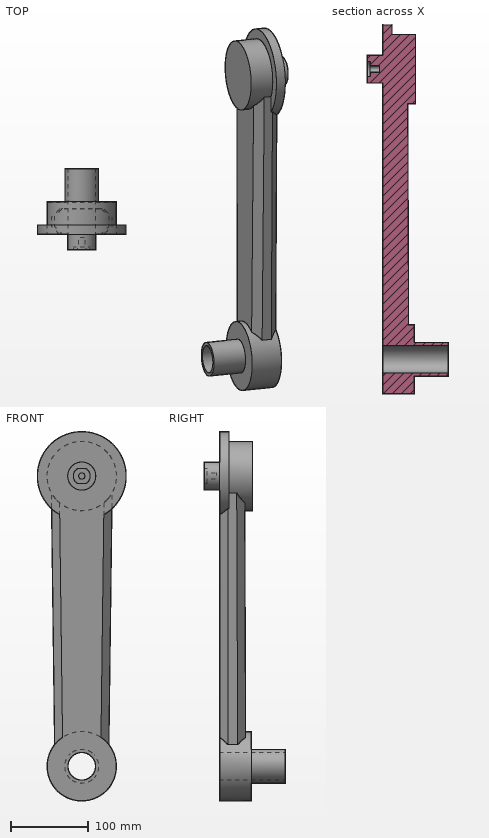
import cadquery as cq

overall_height = 477.5
flange_diameter = 115.0
flange_radius = flange_diameter / 2
boss_radius = 45.0
hub_height = overall_height - flange_radius - boss_radius

flange_thickness = 12.5
hub_depth = 42.5
pin_radius = 18.0
pin_length = 20.0
socket_radius = 11.0
socket_flat_height = 19.0
socket_depth = 4.0
center_hole_radius = 4.05
center_hole_depth = 12.0

overall_depth = 105.0
eye_depth = 41.0
sleeve_end = overall_depth - pin_length
sleeve_radius = 22.0
bore_radius = 17.5

eye_half_width = 35.0
eye_arm_depth = 34.0
hub_half_width = 39.5
hub_arm_depth = 32.5
chamfer = 10.5


def cylinder(radius, height, y_start, y_end):
    """Cylinder along Y, centred at X = 0 and the given height."""
    return cq.Workplane("XZ", origin=(0, y_start, height)).circle(radius).extrude(y_start - y_end)


def arm_section(half_width, depth):
    """Corner points of a rectangular section with all four corners cut off."""
    inner_width = half_width - chamfer
    inner_depth = depth - chamfer
    return [
        (-inner_width, 0),
        (inner_width, 0),
        (half_width, chamfer),
        (half_width, inner_depth),
        (inner_width, depth),
        (-inner_width, depth),
        (-half_width, inner_depth),
        (-half_width, chamfer),
    ]


arm = (
    cq.Workplane("XY")
    .polyline(arm_section(eye_half_width, eye_arm_depth)).close()
    .workplane(offset=hub_height)
    .polyline(arm_section(hub_half_width, hub_arm_depth)).close()
    .loft(ruled=True)
)

hub = (
    cylinder(boss_radius, hub_height, 0, hub_depth)
    .union(cylinder(flange_radius, hub_height, 0, flange_thickness))
    .union(cylinder(pin_radius, hub_height, -pin_length, 0))
)

socket_floor = socket_depth - pin_length
socket_block = (
    cq.Workplane("XZ", origin=(0, -pin_length, hub_height))
    .rect(2 * socket_radius, socket_flat_height)
    .extrude(-socket_depth)
)
socket = cylinder(socket_radius, hub_height, -pin_length, socket_floor).intersect(socket_block)
center_hole = cylinder(center_hole_radius, hub_height, socket_floor, socket_floor + center_hole_depth)

eye = cylinder(boss_radius, 0, 0, eye_depth).union(cylinder(sleeve_radius, 0, 0, sleeve_end))
bore = cylinder(bore_radius, 0, 0, sleeve_end)

result = arm.union(hub).union(eye).cut(bore).cut(socket).cut(center_hole)